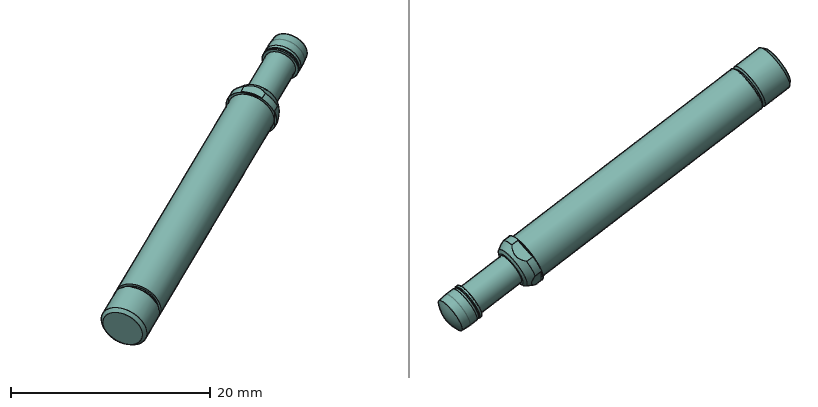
import cadquery as cq

length = 43.1

barrel_radius = 2.5
end_chamfer = 0.35

groove_top = 3.92
groove_depth = 0.25
groove_floor_width = 0.2
groove_cone_height = 0.17

shoulder_radius = 2.75
lip_bottom = 32.7
lip_thickness = 0.1
taper_bottom = 33.57
taper_middle = 34.45
taper_middle_radius = 2.3
shoulder_top = 34.65
shoulder_top_radius = 1.9
flat_distance = barrel_radius
flat_count = 4

neck_radius = 1.7

head_radius = 2.0
head_bottom = 40.1
flange_thickness = 0.25
head_groove_radius = 1.9
head_groove_width = 0.15
head_cone_height = 0.25
nose_bottom = 41.65
nose_radius = 1.9
dome_height = 0.5


def revolved_body():
    """Full round shape, without the wrench flats."""
    groove_radius = barrel_radius - groove_depth
    groove_floor_bottom = groove_top - groove_floor_width
    flange_top = head_bottom + flange_thickness
    head_groove_top = flange_top + head_groove_width
    dome_bottom = length - dome_height
    sphere_radius = (nose_radius**2 + dome_height**2) / (2 * dome_height)
    dome_mid_radius = nose_radius / 2
    dome_mid_y = length - sphere_radius + (sphere_radius**2 - dome_mid_radius**2) ** 0.5

    return (
        cq.Workplane("XY")
        .moveTo(0, 0)
        .lineTo(barrel_radius - end_chamfer, 0)
        .lineTo(barrel_radius, end_chamfer)
        .lineTo(barrel_radius, groove_floor_bottom - groove_cone_height)
        .lineTo(groove_radius, groove_floor_bottom)
        .lineTo(groove_radius, groove_top)
        .lineTo(barrel_radius, groove_top)
        .lineTo(barrel_radius, lip_bottom)
        .lineTo(shoulder_radius, lip_bottom)
        .lineTo(shoulder_radius, taper_bottom)
        .lineTo(taper_middle_radius, taper_middle)
        .lineTo(shoulder_top_radius, shoulder_top)
        .lineTo(neck_radius, shoulder_top)
        .lineTo(neck_radius, head_bottom)
        .lineTo(head_radius, head_bottom)
        .lineTo(head_radius, flange_top)
        .lineTo(head_groove_radius, flange_top)
        .lineTo(head_groove_radius, head_groove_top)
        .lineTo(head_radius, head_groove_top + head_cone_height)
        .lineTo(head_radius, nose_bottom)
        .lineTo(nose_radius, dome_bottom)
        .threePointArc((dome_mid_radius, dome_mid_y), (0, length))
        .close()
        .revolve(360, (0, 0, 0), (0, 1, 0))
    )


def wrench_flat(index):
    """Block that cuts one flat into the shoulder, above the lip."""
    bottom = lip_bottom + lip_thickness
    height = shoulder_top - bottom
    depth = shoulder_radius - flat_distance
    block = cq.Workplane("XY").box(
        2 * shoulder_radius, height, depth, centered=(True, False, False)
    )
    angle = index * 360 / flat_count
    return block.translate((0, bottom, flat_distance)).rotate((0, 0, 0), (0, 1, 0), angle)


result = revolved_body()
for flat_index in range(flat_count):
    result = result.cut(wrench_flat(flat_index))